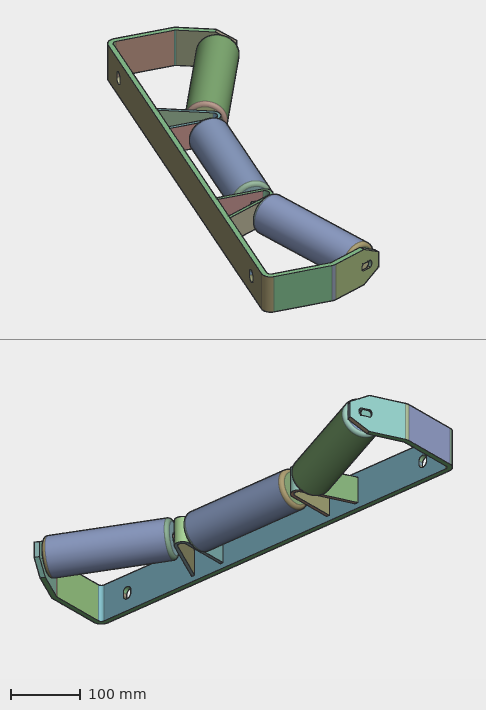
import cadquery as cq
import math

FRAME_LENGTH = 680.0
FRAME_HEIGHT = 60.0
FRAME_THICKNESS = 8.0
FRAME_BEND_INNER_RADIUS = 6.0
TIP_LENGTH = 90.0
TOTAL_DEPTH = 187.45
TILT = 25.0
TIP_CHAMFER_LENGTH = 30.0
TIP_CHAMFER_ANGLE = 30.0

MOUNTING_SLOT_SPACING = 565.0
MOUNTING_SLOT_WIDTH = 14.0
MOUNTING_SLOT_LENGTH = 20.0

BRACKET_THICKNESS = 5.0
BRACKET_HEIGHT = 42.0
BRACKET_BEND_OUTER_RADIUS = 12.0
BRACKET_TOP = 94.0
BRACKET_GAP = 198.0

ROLLER_DIAMETER = 62.0
ROLLER_LENGTH = 190.0
ROLLER_FILLET = 6.0
CENTRE_ROLLER_Y = 70.0
SIDE_ROLLER_FROM_TIP = 26.1

AXLE_DIAMETER = 16.0
AXLE_FLATS = 12.0
SEAT_SLOT_LENGTH = 20.0

tilt = math.radians(TILT)
along_tip = cq.Vector(math.sin(tilt), math.cos(tilt), 0)
outward = cq.Vector(-math.cos(tilt), math.sin(tilt), 0)

tip_corner = cq.Vector(-FRAME_LENGTH / 2, TOTAL_DEPTH - TIP_LENGTH * math.cos(tilt), 0)
tip_end = tip_corner + along_tip * TIP_LENGTH
bracket_bend_centre = cq.Vector(
    -BRACKET_GAP / 2 - BRACKET_BEND_OUTER_RADIUS, BRACKET_TOP - BRACKET_BEND_OUTER_RADIUS, 0
)
bracket_tilted_face = bracket_bend_centre + outward * BRACKET_BEND_OUTER_RADIUS

side_axis_on_tip = tip_end - along_tip * SIDE_ROLLER_FROM_TIP - outward * FRAME_THICKNESS
side_gap = (side_axis_on_tip - bracket_tilted_face).dot(outward)
side_roller_centre = side_axis_on_tip - outward * (side_gap / 2)
centre_roller_centre = cq.Vector(0, CENTRE_ROLLER_Y, 0)


def mirrored(body):
    return body.mirror("YZ")


def flatted_round(plane, length):
    """Outline with parallel sides and axle-radius arcs at both ends of its length."""
    half_width = AXLE_FLATS / 2
    radius = AXLE_DIAMETER / 2
    side_end = length / 2 - radius + math.sqrt(radius**2 - half_width**2)
    return (
        cq.Workplane(plane)
        .moveTo(-side_end, -half_width)
        .lineTo(side_end, -half_width)
        .threePointArc((length / 2, 0), (side_end, half_width))
        .lineTo(-side_end, half_width)
        .threePointArc((-length / 2, 0), (-side_end, -half_width))
        .close()
    )


def seat_slot(axis_point, slot_direction, axle_direction, depth):
    """Cutter for an axle slot that runs from the seated axle toward the open side."""
    shift = (SEAT_SLOT_LENGTH - AXLE_DIAMETER) / 2
    plane = cq.Plane(
        origin=axis_point + slot_direction * shift, xDir=slot_direction, normal=axle_direction
    )
    return flatted_round(plane, SEAT_SLOT_LENGTH).extrude(depth)


def make_frame():
    """Long base with an upright arm at each end, each arm leaning inward at its tip."""
    half_length = FRAME_LENGTH / 2
    outer_radius = FRAME_BEND_INNER_RADIUS + FRAME_THICKNESS
    inner_x = -half_length + FRAME_THICKNESS
    outer_base_corner = (-half_length, 0)
    outer_tip_corner = (tip_corner.x, tip_corner.y)
    inner_tip_corner = (inner_x, tip_corner.y - FRAME_THICKNESS * math.tan(tilt / 2))
    inner_base_corner = (inner_x, FRAME_THICKNESS)
    tip_inner_end = tip_end - outward * FRAME_THICKNESS
    left_half = (
        cq.Workplane("XY", origin=(0, 0, -FRAME_HEIGHT / 2))
        .moveTo(0, 0)
        .lineTo(*outer_base_corner)
        .lineTo(*outer_tip_corner)
        .lineTo(tip_end.x, tip_end.y)
        .lineTo(tip_inner_end.x, tip_inner_end.y)
        .lineTo(*inner_tip_corner)
        .lineTo(*inner_base_corner)
        .lineTo(0, FRAME_THICKNESS)
        .close()
        .extrude(FRAME_HEIGHT)
    )

    bends = [
        (outer_base_corner, outer_radius),
        (inner_base_corner, FRAME_BEND_INNER_RADIUS),
        (outer_tip_corner, outer_radius),
        (inner_tip_corner, FRAME_BEND_INNER_RADIUS),
    ]
    for (x, y), radius in bends:
        corner_edge = cq.selectors.NearestToPointSelector((x, y, 0))
        left_half = left_half.edges("|Z").edges(corner_edge).fillet(radius)

    chamfer_depth = TIP_CHAMFER_LENGTH * math.tan(math.radians(TIP_CHAMFER_ANGLE))
    tip_face = cq.Plane(origin=tip_end, xDir=along_tip, normal=outward)
    for side in (-1, 1):
        corner = (
            cq.Workplane(tip_face)
            .moveTo(0, side * FRAME_HEIGHT / 2)
            .lineTo(-TIP_CHAMFER_LENGTH, side * FRAME_HEIGHT / 2)
            .lineTo(0, side * (FRAME_HEIGHT / 2 - chamfer_depth))
            .close()
            .extrude(-FRAME_THICKNESS)
        )
        left_half = left_half.cut(corner)

    left_half = left_half.cut(seat_slot(side_axis_on_tip, along_tip, outward, FRAME_THICKNESS))
    mounting_slot = (
        cq.Workplane("XZ")
        .center(-MOUNTING_SLOT_SPACING / 2, 0)
        .slot2D(MOUNTING_SLOT_LENGTH, MOUNTING_SLOT_WIDTH, 90)
        .extrude(-FRAME_THICKNESS)
    )
    left_half = left_half.cut(mounting_slot)
    return left_half.union(mirrored(left_half)).clean()


def make_left_bracket():
    """Inverted V: an upright leg and a tilted leg joined by a round bend."""
    inner_radius = BRACKET_BEND_OUTER_RADIUS - BRACKET_THICKNESS
    centre = bracket_bend_centre
    crown_direction = cq.Vector(math.sin(tilt / 2), math.cos(tilt / 2), 0)

    def tilted_leg_foot(radius):
        start = centre + outward * radius
        return start - along_tip * ((start.y - FRAME_THICKNESS) / along_tip.y)

    outer_foot = tilted_leg_foot(BRACKET_BEND_OUTER_RADIUS)
    inner_foot = tilted_leg_foot(inner_radius)
    outer_start = centre + outward * BRACKET_BEND_OUTER_RADIUS
    inner_start = centre + outward * inner_radius
    outer_crown = centre + crown_direction * BRACKET_BEND_OUTER_RADIUS
    inner_crown = centre + crown_direction * inner_radius
    outer_x = centre.x + BRACKET_BEND_OUTER_RADIUS
    inner_x = centre.x + inner_radius
    bracket = (
        cq.Workplane("XY", origin=(0, 0, -BRACKET_HEIGHT / 2))
        .moveTo(outer_foot.x, outer_foot.y)
        .lineTo(outer_start.x, outer_start.y)
        .threePointArc((outer_crown.x, outer_crown.y), (outer_x, centre.y))
        .lineTo(outer_x, FRAME_THICKNESS)
        .lineTo(inner_x, FRAME_THICKNESS)
        .lineTo(inner_x, centre.y)
        .threePointArc((inner_crown.x, inner_crown.y), (inner_start.x, inner_start.y))
        .lineTo(inner_foot.x, inner_foot.y)
        .close()
        .extrude(BRACKET_HEIGHT)
    )

    upright_seat = cq.Vector(outer_x, CENTRE_ROLLER_Y, 0)
    tilted_seat = side_roller_centre - outward * (side_gap / 2)
    bracket = bracket.cut(
        seat_slot(upright_seat, cq.Vector(0, 1, 0), cq.Vector(-1, 0, 0), BRACKET_THICKNESS)
    )
    return bracket.cut(seat_slot(tilted_seat, along_tip, outward * -1, BRACKET_THICKNESS))


def make_roller(centre, axis, across, gap):
    """Roller with a round axle whose flatted ends reach past the gap by the bracket thickness."""

    def start_plane(length):
        return cq.Plane(origin=centre - axis * (length / 2), xDir=across, normal=axis)

    roller = (
        cq.Workplane(start_plane(ROLLER_LENGTH))
        .circle(ROLLER_DIAMETER / 2)
        .extrude(ROLLER_LENGTH)
        .edges("%CIRCLE")
        .fillet(ROLLER_FILLET)
    )
    round_length = (gap + ROLLER_LENGTH) / 2
    round_axle = cq.Workplane(start_plane(round_length)).circle(AXLE_DIAMETER / 2).extrude(round_length)
    full_length = gap + 2 * BRACKET_THICKNESS
    flatted_axle = flatted_round(start_plane(full_length), AXLE_DIAMETER).extrude(full_length)
    return roller.union(round_axle).union(flatted_axle)


frame = make_frame()
left_bracket = make_left_bracket()
right_bracket = mirrored(left_bracket)
centre_roller = make_roller(
    centre_roller_centre, cq.Vector(-1, 0, 0), cq.Vector(0, 1, 0), BRACKET_GAP
)
left_roller = make_roller(side_roller_centre, outward, along_tip * -1, side_gap)
right_roller = mirrored(left_roller)

result = cq.Compound.makeCompound(
    [
        frame.val(),
        left_bracket.val(),
        right_bracket.val(),
        centre_roller.val(),
        left_roller.val(),
        right_roller.val(),
    ]
)